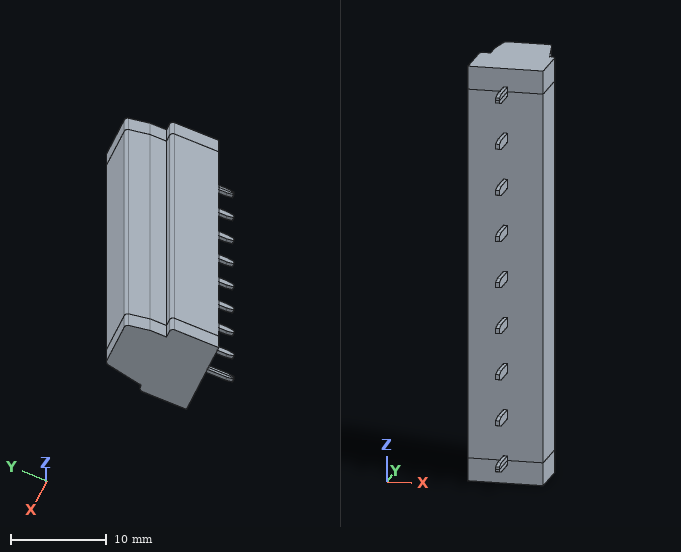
import cadquery as cq

STRIP_LENGTH = 45.0
PIN_COUNT = 9
PIN_PITCH = STRIP_LENGTH / PIN_COUNT
SECTION_SPLIT = (PIN_COUNT - 1) * PIN_PITCH / 2
STRIP_END = STRIP_LENGTH / 2

TOTAL_DEPTH = 13.5
HOUSING_DEPTH = 10.0
BACK = TOTAL_DEPTH / 2
FRONT = BACK - HOUSING_DEPTH
BASE_DEPTH = 5.5
SHOULDER = FRONT + BASE_DEPTH
BASE_HALF_WIDTH = 4.05
WALL_LEFT = -2.92
WALL_BEND = 4.15
RIDGE_LEFT = -2.48
RIDGE_RIGHT = 2.55
RIDGE_FOOT_RIGHT = 3.4
RIDGE_RADIUS = 0.4
SHOULDER_RADIUS = 0.4

PIN_THICKNESS = 0.4
PIN_HEIGHT = 1.0
PIN_TIP_HEIGHT = 0.55
PIN_TAPER = 0.8
PIN_TIP = -TOTAL_DEPTH / 2


def housing_bar(z_low, z_high):
    """Stretch of the housing profile between two heights."""
    bar = (
        cq.Workplane("XY", origin=(0, 0, z_low))
        .polyline([
            (-BASE_HALF_WIDTH, FRONT),
            (BASE_HALF_WIDTH, FRONT),
            (BASE_HALF_WIDTH, SHOULDER),
            (RIDGE_FOOT_RIGHT, SHOULDER),
            (RIDGE_RIGHT, BACK),
            (RIDGE_LEFT, BACK),
            (WALL_LEFT, WALL_BEND),
            (WALL_LEFT, SHOULDER),
            (-BASE_HALF_WIDTH, SHOULDER),
        ])
        .close()
        .extrude(z_high - z_low)
    )
    bar = bar.edges("|Z and >Y").fillet(RIDGE_RADIUS)
    for side in (-1, 1):
        corner = (side * BASE_HALF_WIDTH, SHOULDER, (z_low + z_high) / 2)
        bar = bar.edges(cq.selectors.NearestToPointSelector(corner)).fillet(SHOULDER_RADIUS)
    return bar


def pin(z_center):
    """One whole pin standing out from the front face of the housing."""
    taper_start = PIN_TIP + PIN_TAPER
    return (
        cq.Workplane("YZ", origin=(0, 0, z_center))
        .polyline([
            (FRONT, -PIN_HEIGHT / 2),
            (FRONT, PIN_HEIGHT / 2),
            (taper_start, PIN_HEIGHT / 2),
            (PIN_TIP, PIN_TIP_HEIGHT / 2),
            (PIN_TIP, -PIN_TIP_HEIGHT / 2),
            (taper_start, -PIN_HEIGHT / 2),
        ])
        .close()
        .extrude(PIN_THICKNESS / 2, both=True)
    )


def slab_between(z_low, z_high):
    """Block that encloses everything between two heights."""
    return (
        cq.Workplane("XY", origin=(0, 0, z_low))
        .rect(2 * BASE_HALF_WIDTH, TOTAL_DEPTH)
        .extrude(z_high - z_low)
    )


def strip_section(z_low, z_high):
    """Housing section with its pins; a pin on a cut leaves one half on each section."""
    section = housing_bar(z_low, z_high)
    slab = slab_between(z_low, z_high)
    for index in range(PIN_COUNT):
        z_pin = -SECTION_SPLIT + index * PIN_PITCH
        if z_low - PIN_HEIGHT / 2 < z_pin < z_high + PIN_HEIGHT / 2:
            section = section.union(pin(z_pin).intersect(slab))
    return section


middle_section = strip_section(-SECTION_SPLIT, SECTION_SPLIT)
end_sections = [
    strip_section(-STRIP_END, -SECTION_SPLIT),
    strip_section(SECTION_SPLIT, STRIP_END),
]

result = cq.Compound.makeCompound([
    middle_section.solids().val(),
    *[section.solids().val() for section in end_sections],
])